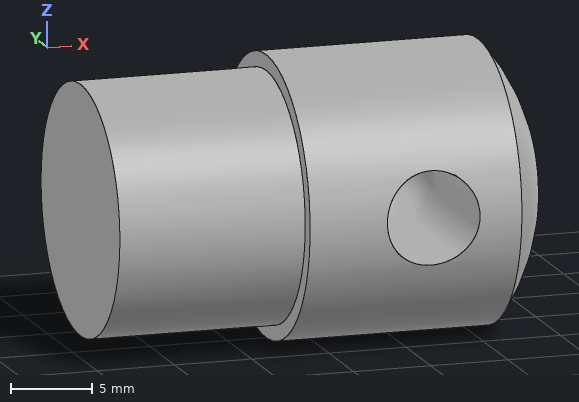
import cadquery as cq
import math

total_length = 29.0
body_diameter = 18.0
shank_diameter = 16.0
shank_length = 12.0
dome_radius = 14.0
hole_diameter = 6.0
hole_x = 20.0
hole_depth = 9.0

body_radius = body_diameter / 2
shank_radius = shank_diameter / 2
hole_radius = hole_diameter / 2
dome_center_x = total_length - dome_radius


def dome_point(angle):
    """Point of the dome profile at an angle above the part axis."""
    return (dome_center_x + dome_radius * math.cos(angle), dome_radius * math.sin(angle))


def turned_body():
    """Shank, larger body and domed end, as one revolved profile."""
    rim_angle = math.asin(body_radius / dome_radius)
    return (
        cq.Workplane("XY")
        .moveTo(0, 0)
        .lineTo(0, shank_radius)
        .lineTo(shank_length, shank_radius)
        .lineTo(shank_length, body_radius)
        .lineTo(*dome_point(rim_angle))
        .threePointArc(dome_point(rim_angle / 2), (total_length, 0))
        .close()
        .revolve(360, (0, 0, 0), (1, 0, 0))
    )


def cross_hole():
    """Round-ended blind hole entering from the -Y side."""
    bottom_y = hole_depth - body_radius
    bore = (
        cq.Workplane("XZ", origin=(hole_x, bottom_y, 0))
        .circle(hole_radius)
        .extrude(hole_depth)
    )
    round_end = cq.Workplane("XY", origin=(hole_x, bottom_y, 0)).sphere(hole_radius)
    return bore.union(round_end)


result = turned_body().cut(cross_hole())